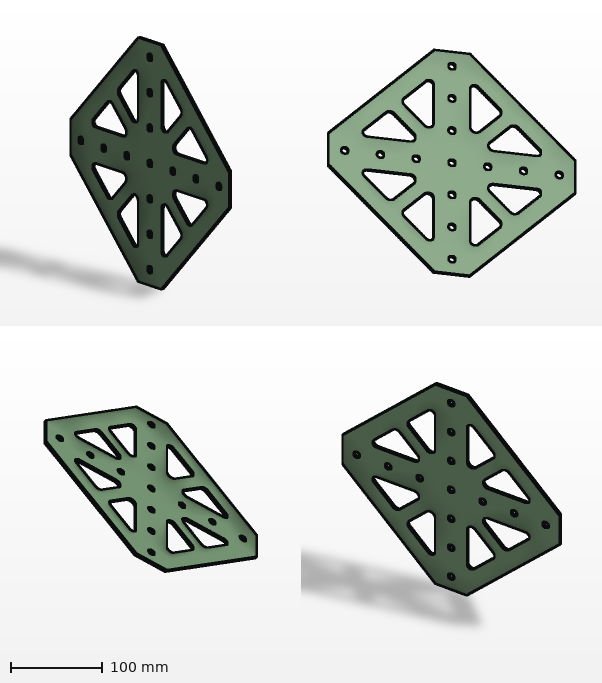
import cadquery as cq
import math

span = 276.0
thickness = 3.0
corner_flat = 40.0

hole_diameter = 8.0
hole_pitch = 40.0
holes_each_side = 3

arm_half_width = 20.5
rib_half_width = 8.3
rim_width = 21.8
rib_corner_radius = 6.0
rim_corner_radius = 5.0

half_span = span / 2
half_flat = corner_flat / 2
root2 = math.sqrt(2)


def make_plate():
    """Diamond with its four corners cut flat, centred on the Y origin."""
    quarter = [(half_span, half_flat), (half_flat, half_span)]
    outline = []
    for x_sign, z_sign in [(1, 1), (-1, 1), (-1, -1), (1, -1)]:
        corners = [(x_sign * x, z_sign * z) for x, z in quarter]
        outline += corners if x_sign * z_sign > 0 else corners[::-1]
    profile = cq.Workplane("XZ").polyline(outline).close()
    return profile.extrude(thickness / 2, both=True)


def make_window():
    """Rounded triangle between the +Z arm, a diagonal rib and the rim."""
    rib_offset = rib_half_width * root2
    rim_sum = half_span + half_flat - rim_width * root2
    corners = [
        (arm_half_width, arm_half_width + rib_offset),
        ((rim_sum - rib_offset) / 2, (rim_sum + rib_offset) / 2),
        (arm_half_width, rim_sum - arm_half_width),
    ]
    profile = cq.Workplane("XZ").polyline(corners).close()
    window = profile.extrude(thickness, both=True)
    window = window.edges("|Y").edges("not >Z").fillet(rib_corner_radius)
    return window.edges("|Y").edges(">Z").fillet(rim_corner_radius)


def cut_windows(plate):
    """Cut a mirrored pair of windows beside each of the four arms."""
    window = make_window()
    pair = window.union(window.mirror("YZ"))
    for angle in (0, 90, 180, 270):
        plate = plate.cut(pair.rotate((0, 0, 0), (0, 1, 0), angle))
    return plate


def cut_holes(plate):
    """Cut a row of through holes along X and along Z, sharing the centre hole."""
    places = [(0, 0)]
    for step in range(1, holes_each_side + 1):
        distance = step * hole_pitch
        places += [(distance, 0), (-distance, 0), (0, distance), (0, -distance)]
    holes = cq.Workplane("XZ").pushPoints(places).circle(hole_diameter / 2)
    return plate.cut(holes.extrude(thickness, both=True))


result = cut_holes(cut_windows(make_plate()))